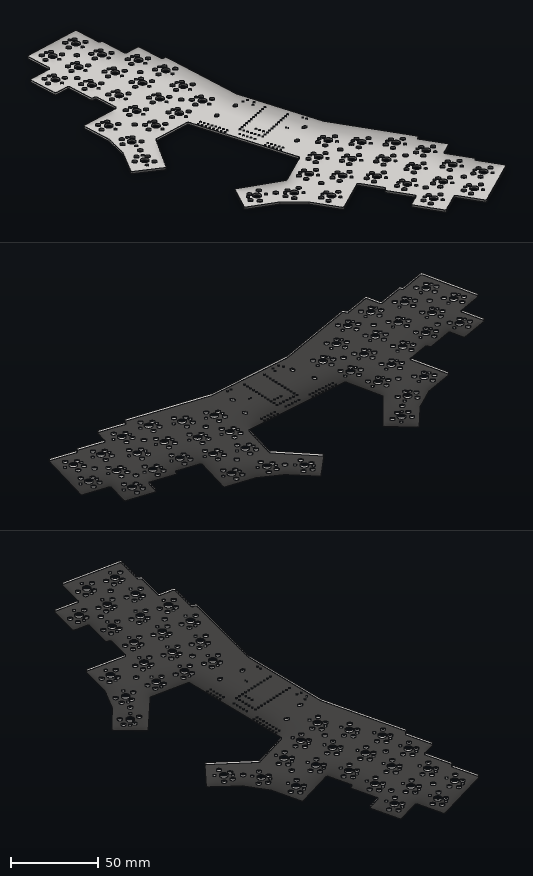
import cadquery as cq
import math

thickness = 1.6
corner_radius = 1.0
centre_back = 43.9
centre_front = 3.3
thumb_notch = (-43.5, -21.9)

hand_angle = 14.0
key_pitch = 19.0
key_half = 10.46
inner_column = -47.23
columns = [(9.62, 2), (11.63, 3), (22.16, 3), (25.15, 3), (20.13, 3), (16.64, 3)]
thumb_keys = [(-74.09, -23.17, hand_angle), (-54.11, -31.25, 30.7), (-37.35, -44.78, 46.5)]

stem_diameter = 5.0
pin_diameter = 3.0
pin_spots = [(2.54, 5.08), (-3.81, 2.54), (-5.0, -3.77), (0.0, -5.95)]
peg_diameter = 1.875
peg_offset = 5.33

screw_diameter = 3.2
screw_spots = [
    (-128.85, 33.13), (-115.96, 11.96), (-88.35, 35.89),
    (-52.92, 22.32), (-62.12, -14.50), (-45.10, -36.81),
]
slot_width = 2.2
slot_length = 3.2
slot_spots = [(-23.01, 32.7), (-26.69, 18.0)]

pin_pitch = 2.54
controller_diameter = 1.09
controller_rows = 12
controller_columns = 7
controller_front = 11.8
extra_pins = 3
extra_row = 2
header_diameter = 1.0
header_back = 7.25
left_header_start = -31.15
left_header_pins = 8
right_header_start = 13.55
right_header_pins = 5
middle_header_pins = 5
header_rows = 2
jack_diameter = 1.1
jack_spots = [(-20.0, 41.2), (-15.6, 41.2), (-21.4, 38.5), (-14.7, 38.5)]
battery_diameter = 1.1
battery_spots = [(16.8, 41.2), (19.4, 41.2)]
via_diameter = 0.4
via_spots = [(14.0, 27.1), (15.5, 27.1)]


def turned(along, up, clockwise):
    """Turn a point clockwise about the origin."""
    angle = math.radians(clockwise)
    x = along * math.cos(angle) + up * math.sin(angle)
    y = up * math.cos(angle) - along * math.sin(angle)
    return (x, y)


def from_key(key, along, up):
    """Board point at (along, up) from the middle of a key, in the key's own turned frame."""
    x, y, clockwise = key
    dx, dy = turned(along, up, clockwise)
    return (x + dx, y + dy)


def mirrored(points):
    return [(-x, y) for x, y in points]


def column_along(column):
    return inner_column - (len(columns) - 1 - column) * key_pitch


def left_keys():
    keys = []
    for column, (top, count) in enumerate(columns):
        for row in range(count):
            x, y = turned(column_along(column), top - row * key_pitch, hand_angle)
            keys.append((x, y, hand_angle))
    return keys + thumb_keys


def left_outline():
    """Left half of the board edge, from the middle of the back round to the middle of the front."""
    left = [column_along(column) - key_half for column in range(len(columns))]
    right = [column_along(column) + key_half for column in range(len(columns))]
    back = [top + key_half for top, _ in columns]
    front = [top - (count - 1) * key_pitch - key_half for top, count in columns]
    stepped_edge = [
        (left[3], back[3]), (left[3], back[2]), (left[2], back[2]), (left[2], back[1]),
        (left[1], back[1]), (left[1], back[0]), (left[0], back[0]), (left[0], front[0]),
        (left[1], front[0]), (left[1], front[1]), (right[1], front[1]), (right[1], front[2]),
        (right[2], front[2]), (right[2], front[3]), (left[4], front[3]),
    ]
    steps = [turned(along, up, hand_angle) for along, up in stepped_edge]

    first_thumb, _, last_thumb = thumb_keys
    thumbs = [
        from_key(first_thumb, -key_half, -key_half),
        from_key(first_thumb, key_half, -key_half),
        from_key(last_thumb, -key_half, -key_half),
        from_key(last_thumb, key_half, -key_half),
        from_key(last_thumb, key_half, key_half),
    ]

    slope = math.tan(math.radians(hand_angle))
    back_x = steps[0][0] + (steps[0][1] - centre_back) / slope
    front_x = thumb_notch[0] + (centre_front - thumb_notch[1]) * slope
    return [(back_x, centre_back)] + steps + thumbs + [thumb_notch, (front_x, centre_front)]


def pin_grid(x_start, y_back, across, rows):
    """Pin positions on the standard pitch, starting at the left end of the back row."""
    return [
        (x_start + i * pin_pitch, y_back - j * pin_pitch)
        for i in range(across)
        for j in range(rows)
    ]


def controller_pins():
    """Two long columns of pins, a front row that joins them and a short row behind it."""
    half_width = (controller_columns - 1) / 2 * pin_pitch
    back = controller_front + (controller_rows - 1) * pin_pitch
    left_side = pin_grid(-half_width, back, 1, controller_rows)
    right_side = pin_grid(half_width, back, 1, controller_rows)
    front_row = pin_grid(pin_pitch - half_width, controller_front, controller_columns - 2, 1)
    short_row = pin_grid(0, controller_front + extra_row * pin_pitch, extra_pins, 1)
    return left_side + right_side + front_row + short_row


def header_pins():
    middle_start = -(middle_header_pins - 1) / 2 * pin_pitch
    return (
        pin_grid(left_header_start, header_back, left_header_pins, header_rows)
        + pin_grid(middle_start, header_back, middle_header_pins, 1)
        + pin_grid(right_header_start, header_back, right_header_pins, header_rows)
    )


def drill(diameter, spots):
    """Through cylinders of one diameter."""
    return cq.Workplane("XY").pushPoints(spots).circle(diameter / 2).extrude(thickness).vals()


def slot_cutters(spots, lean):
    """Through slots that lie along Y, turned anticlockwise by the lean angle."""
    slots = cq.Workplane("XY").pushPoints(spots).slot2D(slot_length, slot_width, 90 + lean)
    return slots.extrude(thickness).vals()


keys = left_keys()
keys += [(-x, y, -clockwise) for x, y, clockwise in keys]

outline = left_outline()
outline += mirrored(reversed(outline))
board = cq.Workplane("XY").polyline(outline).close().extrude(thickness)
board = board.edges("|Z").fillet(corner_radius)

drills = drill(stem_diameter, [(x, y) for x, y, _ in keys])
drills += drill(pin_diameter, [from_key(key, *spot) for key in keys for spot in pin_spots])
drills += drill(peg_diameter, [from_key(key, side * peg_offset, 0) for key in keys for side in (-1, 1)])
drills += drill(screw_diameter, screw_spots + mirrored(screw_spots))
drills += slot_cutters(slot_spots, hand_angle)
drills += slot_cutters(mirrored(slot_spots), -hand_angle)
drills += drill(controller_diameter, controller_pins())
drills += drill(header_diameter, header_pins())
drills += drill(jack_diameter, jack_spots)
drills += drill(battery_diameter, battery_spots)
drills += drill(via_diameter, via_spots)

result = board.cut(cq.Workplane(obj=cq.Compound.makeCompound(drills)))